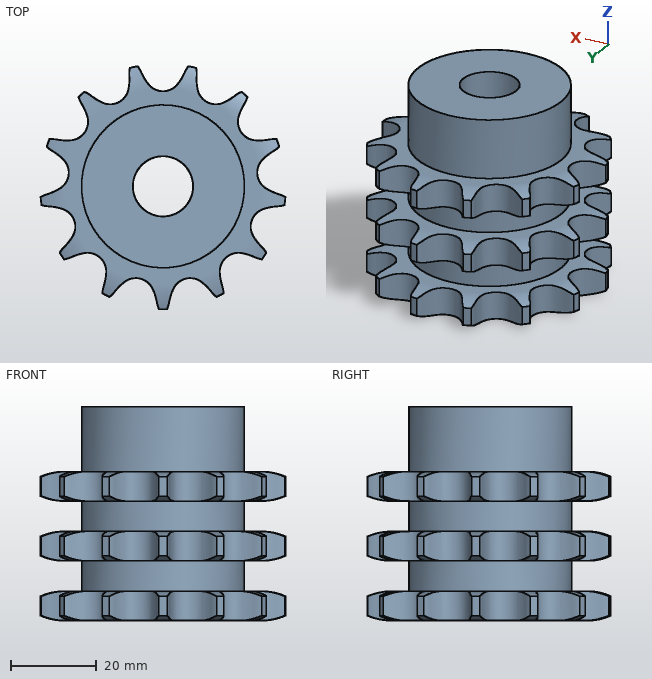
import cadquery as cq
import math


total_height = 50.0
hub_diameter = 38.0
bore_diameter = 14.0

row_count = 3
row_pitch = 13.95
row_width = 6.9
tooth_count = 13
tip_diameter = 57.4
face_diameter = 46.0
side_drop = 1.2

pitch_diameter = 53.05
roller_diameter = 8.5
seat_clearance = 0.04

tip_radius = tip_diameter / 2
face_radius = face_diameter / 2
pitch_radius = pitch_diameter / 2

seat_factor = 0.5025
working_factor = 0.8
topping_factor = 1.4
seat_half_angle = 90 - (35 + 60 / tooth_count)
working_angle = 18 - 56 / tooth_count
topping_angle = 17 - 64 / tooth_count

seat_radius = seat_factor * roller_diameter + seat_clearance
working_radius = seat_radius + working_factor * roller_diameter
straight_length = roller_diameter * (
    topping_factor * math.sin(math.radians(topping_angle))
    - working_factor * math.sin(math.radians(working_angle))
)
topping_reach = roller_diameter * (
    topping_factor * math.cos(math.radians(topping_angle))
    + working_factor * math.cos(math.radians(working_angle))
)
topping_radius = topping_reach - working_radius

cutter_overrun = 2.85


def arc_point(center, radius, angle):
    """Point on a circle, with the angle in degrees measured from -Y towards +X."""
    return (
        center[0] + radius * math.sin(math.radians(angle)),
        center[1] - radius * math.cos(math.radians(angle)),
    )


def mirrored(point):
    return (-point[0], point[1])


def tooth_gap():
    """Cutter for one tooth gap, centred on +Y and as tall as one row."""
    seat_center = (0, pitch_radius)
    seat_bottom = arc_point(seat_center, seat_radius, 0)
    seat_end = arc_point(seat_center, seat_radius, seat_half_angle)

    working_center = arc_point(seat_center, seat_radius - working_radius, seat_half_angle)
    working_middle = arc_point(working_center, working_radius, seat_half_angle + working_angle / 2)
    flank_angle = seat_half_angle + working_angle
    working_end = arc_point(working_center, working_radius, flank_angle)

    straight_end = arc_point(working_end, straight_length, flank_angle + 90)

    topping_center = arc_point(straight_end, topping_radius, flank_angle)
    center_distance = math.hypot(*topping_center)
    center_direction = math.degrees(math.atan2(topping_center[0], topping_center[1]))
    tip_offset = math.degrees(math.acos(
        (center_distance**2 + tip_radius**2 - topping_radius**2) / (2 * center_distance * tip_radius)
    ))
    tip_direction = math.radians(center_direction - tip_offset)
    tip = (tip_radius * math.sin(tip_direction), tip_radius * math.cos(tip_direction))
    chord_middle = ((straight_end[0] + tip[0]) / 2, (straight_end[1] + tip[1]) / 2)
    toward_chord = (chord_middle[0] - topping_center[0], chord_middle[1] - topping_center[1])
    stretch = topping_radius / math.hypot(*toward_chord)
    topping_middle = (
        topping_center[0] + stretch * toward_chord[0],
        topping_center[1] + stretch * toward_chord[1],
    )

    outside = (tip[0], tip_radius + cutter_overrun)
    return (
        cq.Workplane("XY")
        .moveTo(*mirrored(seat_end))
        .threePointArc(seat_bottom, seat_end)
        .threePointArc(working_middle, working_end)
        .lineTo(*straight_end)
        .threePointArc(topping_middle, tip)
        .lineTo(*outside)
        .lineTo(*mirrored(outside))
        .lineTo(*mirrored(tip))
        .threePointArc(mirrored(topping_middle), mirrored(straight_end))
        .lineTo(*mirrored(working_end))
        .threePointArc(mirrored(working_middle), mirrored(seat_end))
        .close()
        .extrude(row_width)
    )


def tooth_row():
    """One toothed disc from Z = 0 to row_width, both sides rounded towards the tip."""
    side_length = tip_radius - face_radius
    side_radius = (side_length**2 + side_drop**2) / (2 * side_drop)
    disc = (
        cq.Workplane("XZ")
        .lineTo(face_radius, 0)
        .radiusArc((tip_radius, side_drop), -side_radius)
        .lineTo(tip_radius, row_width - side_drop)
        .radiusArc((face_radius, row_width), -side_radius)
        .lineTo(0, row_width)
        .close()
        .revolve(360, (0, 0, 0), (0, 1, 0))
    )
    gap = tooth_gap()
    for index in range(tooth_count):
        disc = disc.cut(gap.rotate((0, 0, 0), (0, 0, 1), index * 360 / tooth_count))
    return disc


sprocket = cq.Workplane("XY").circle(hub_diameter / 2).extrude(total_height)
row = tooth_row()
for index in range(row_count):
    sprocket = sprocket.union(row.translate((0, 0, index * row_pitch)))

bore = cq.Workplane("XY").circle(bore_diameter / 2).extrude(total_height)
result = sprocket.cut(bore)